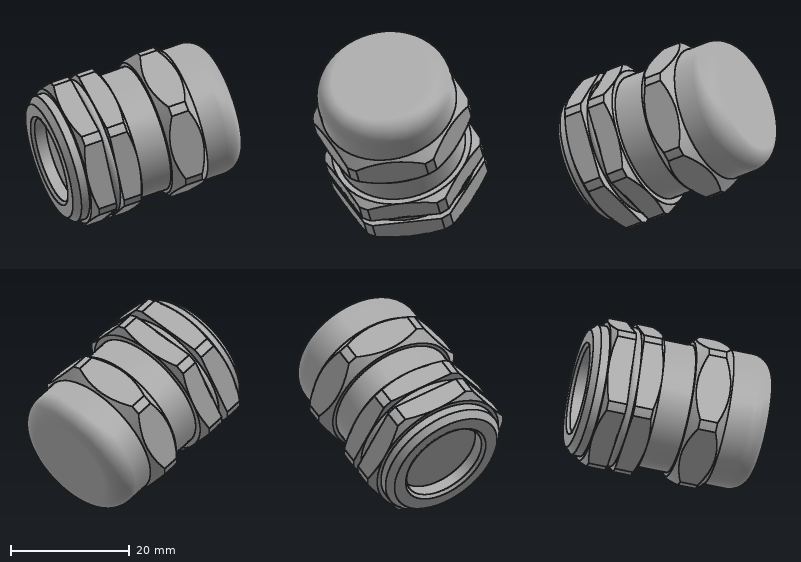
import cadquery as cq
import math

length = 31.7

across_flats = 24.0
across_corners = 26.8

lock_nut_start = 2.6
lock_nut_end = 6.63
body_hex_start = 8.02
body_hex_end = 12.0
cap_hex_start = 17.7
cap_hex_end = 24.23

thread_diameter = 22.5
end_face_diameter = 20.3
neck_diameter = 22.0
cap_diameter = 23.3
cap_round = 3.55
core_diameter = 21.0

sealing_ring_diameter = across_flats
sealing_ring_section = 2.0
sealing_ring_station = 7.55

recess_mouth_diameter = 15.85
recess_diameter = 14.8
recess_depth = 2.6

nut_chamfer_angle = 30
cap_chamfer_angle = 45


def cylinder(diameter, start, end):
    """Solid cylinder around the Y axis between two stations."""
    plane = cq.Workplane("XZ", origin=(0, start, 0))
    return plane.circle(diameter / 2).extrude(start - end)


def hexagon(start, end, face_diameter, chamfer_angle, at_start, at_end):
    """Hexagon with turned corners and conical chamfers on the chosen ends."""
    corner_diameter = across_flats / math.cos(math.radians(30))
    plane = cq.Workplane("XZ", origin=(0, start, 0))
    prism = plane.polygon(6, corner_diameter).extrude(start - end)

    outer = across_corners / 2
    face = face_diameter / 2
    chamfer_height = (outer - face) * math.tan(math.radians(chamfer_angle))
    profile = cq.Workplane("XY").moveTo(0, start)
    if at_start:
        profile = profile.lineTo(face, start).lineTo(outer, start + chamfer_height)
    else:
        profile = profile.lineTo(outer, start)
    if at_end:
        profile = profile.lineTo(outer, end - chamfer_height).lineTo(face, end)
    else:
        profile = profile.lineTo(outer, end)
    envelope = profile.lineTo(0, end).close().revolve(360, (0, 0), (0, 1))
    return prism.intersect(envelope)


def threaded_end():
    end_chamfer = (thread_diameter - end_face_diameter) / 2
    return cylinder(thread_diameter, 0, lock_nut_start).faces("<Y").chamfer(end_chamfer)


def sealing_ring():
    section_centre = (sealing_ring_diameter - sealing_ring_section) / 2
    section = cq.Workplane("XY").center(section_centre, sealing_ring_station)
    ring = section.circle(sealing_ring_section / 2).revolve(360, (-section_centre, 0), (-section_centre, 1))
    return ring.union(cylinder(core_diameter, lock_nut_end, body_hex_start))


def domed_cap():
    return cylinder(cap_diameter, cap_hex_end, length).faces(">Y").edges().fillet(cap_round)


def recess():
    bore = cylinder(recess_diameter, 0, recess_depth)
    mouth_chamfer = (recess_mouth_diameter - recess_diameter) / 2
    cone = cq.Workplane("XZ").circle(recess_mouth_diameter / 2)
    countersink = cone.workplane(offset=-mouth_chamfer).circle(recess_diameter / 2).loft(ruled=True)
    return bore.union(countersink)


lock_nut = hexagon(lock_nut_start, lock_nut_end, across_flats, nut_chamfer_angle, True, False)
body_hex = hexagon(body_hex_start, body_hex_end, across_flats, nut_chamfer_angle, False, True)
cap_hex = hexagon(cap_hex_start, cap_hex_end, cap_diameter, cap_chamfer_angle, True, True)
neck = cylinder(neck_diameter, body_hex_end, cap_hex_start)

result = (
    threaded_end()
    .union(lock_nut)
    .union(sealing_ring())
    .union(body_hex)
    .union(neck)
    .union(cap_hex)
    .union(domed_cap())
    .cut(recess())
)